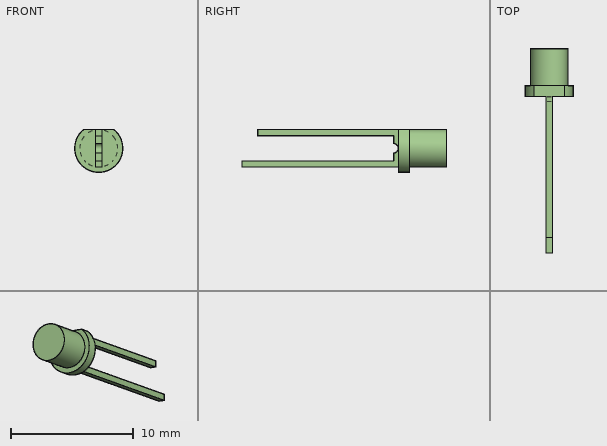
import cadquery as cq

total_length = 16.64
body_radius = 1.53
body_length = 3.01
flange_radius = 1.96
flange_thickness = 0.9
flat_height = body_radius
lead_width = 0.53
lead_height = 0.52
lead_length = total_length - body_length - flange_thickness
short_lead_cutback = 1.26
web_depth = 0.4
notch_radius = 0.38


def cylinder_along_y(radius, start, length):
    """Solid cylinder on the Y axis from start towards +Y."""
    return cq.Workplane("XZ", origin=(0, start, 0)).circle(radius).extrude(-length)


def block_behind_face(length, bottom, height):
    """Lead-wide block running from the flange face towards -Y."""
    return cq.Workplane("XY").box(
        lead_width, length, height, centered=(True, False, False)
    ).translate((0, -length, bottom))


def make_flange():
    """Round flange with one flat on its top."""
    disc = cylinder_along_y(flange_radius, 0, flange_thickness)
    keep = cq.Workplane("XY").box(
        2 * flange_radius, flange_thickness, flange_radius + flat_height,
        centered=(True, False, False),
    ).translate((0, 0, -flange_radius))
    return disc.intersect(keep)


def make_web():
    """Bridge joining the leads, with a half-round notch in its outer face."""
    web = block_behind_face(web_depth, -body_radius, 2 * body_radius)
    notch = (
        cq.Workplane("YZ")
        .center(-web_depth, 0)
        .circle(notch_radius)
        .extrude(lead_width / 2, both=True)
    )
    return web.cut(notch)


body = cylinder_along_y(body_radius, flange_thickness, body_length)
long_lead = block_behind_face(lead_length, -body_radius, lead_height)
short_lead = block_behind_face(
    lead_length - short_lead_cutback, body_radius - lead_height, lead_height
)

result = body.union(make_flange()).union(make_web()).union(long_lead).union(short_lead)